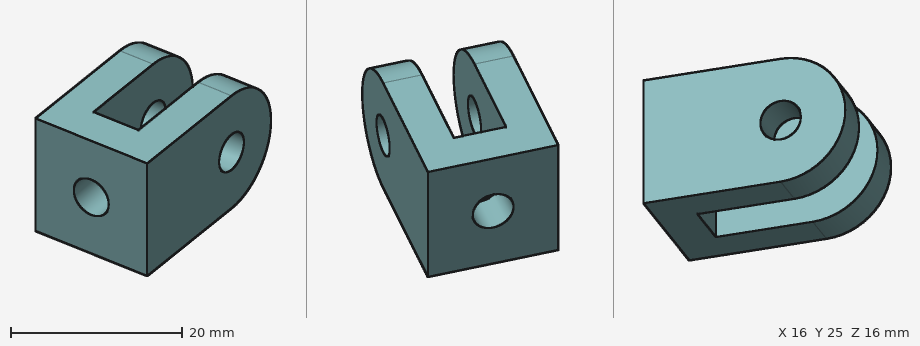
import cadquery as cq

length = 25.0
width = 16.0
slot_width = 6.4
base_thickness = 5.0
hole_diameter = 5.0

tip_radius = width / 2
base_face_y = -length / 2
pin_y = length / 2 - tip_radius
slot_length = length - base_thickness

body = (
    cq.Workplane("YZ")
    .moveTo(base_face_y, -tip_radius)
    .lineTo(pin_y, -tip_radius)
    .threePointArc((pin_y + tip_radius, 0), (pin_y, tip_radius))
    .lineTo(base_face_y, tip_radius)
    .close()
    .extrude(width / 2, both=True)
)

slot = cq.Workplane("XY").box(slot_width, slot_length, width).translate((0, base_thickness / 2, 0))

pin_hole = (
    cq.Workplane("YZ")
    .center(pin_y, 0)
    .circle(hole_diameter / 2)
    .extrude(width / 2, both=True)
)

base_hole = (
    cq.Workplane("XZ", origin=(0, base_face_y, 0))
    .circle(hole_diameter / 2)
    .extrude(-base_thickness)
)

result = body.cut(slot).cut(pin_hole).cut(base_hole)